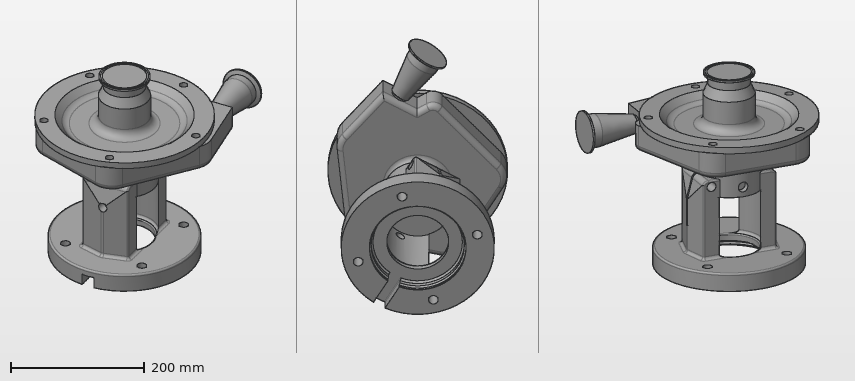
import math

import cadquery as cq

total_height = 310.0
plate_top_z = 241.0
plate_bottom_z = 231.0
casing_bottom_z = 189.0
collar_top_z = 169.0
collar_bottom_z = 126.0
base_height = 29.0

plate_radius = 135.0
plate_hole_count = 5
plate_hole_circle_radius = 122.0
plate_hole_radius = 6.2
recess_rim_radius = 104.6
recess_cone_foot_radius = 94.0
recess_floor_radius = 83.0
recess_cone_depth = 10.6
recess_depth = 15.1
hub_fillet_radius = 14.0

inlet_radius = 39.4
inlet_neck_radius = 32.2
inlet_cone_start_z = 276.0
inlet_cone_end_z = 292.0
inlet_flange_radius = 38.6
inlet_groove_circle_radius = 34.7
inlet_groove_radius = 1.3

casing_side_count = 5
casing_apothem = 115.0
casing_corner_radius = 35.0
casing_bottom_fillet = 9.0
tab_corner = (50.0, 137.7)
tab_corner_radius = 18.0
outlet_wall_y = 109.5
outlet_wall_x_start = 65.0
outlet_wall_x_end = 124.6
outlet_side_corner = (142.4, 1.0)

outlet_x = 96.0
outlet_z = 209.2
outlet_end_y = 195.0
outlet_flange_radius = 32.3
outlet_radius = 25.7
outlet_cone_start_y = 113.5
outlet_cone_end_y = 176.5
outlet_cone_small_radius = 15.0
outlet_root_radius = 12.4
outlet_root_y = outlet_wall_y - 12.0

ferrule_rim_thickness = 3.0
ferrule_total_thickness = 5.5

neck_radius = 42.0
neck_fillet_radius = 10.0
collar_radius = 51.2
collar_hole_radius = 7.8
collar_hole_depth = 10.0
collar_hole_z = 141.7

leg_half_width = 39.3
leg_relief_radius = 52.0
leg_shoulder_y = 60.0
leg_nose_y = 70.1
leg_nose_radius = 8.6
leg_edge_radius = 2.5
leg_top_z = 155.5
leg_top_edge_y = 59.1
leg_slope_end_z = 113.8
leg_top_radius = 10.0
leg_foot_fillet = 5.0
drain_hole_z = 114.2
drain_hole_radius = 7.0
clamp_slit_width = 3.5
clamp_slit_bottom_z = 73.0
clamp_hole_y = 46.9
clamp_hole_z = 145.3
clamp_hole_radius = 7.3

base_radius = 115.0
base_edge_fillet = 3.0
base_bore_radius = 46.5
base_bore_edge_fillet = 2.0
base_recess_radius = 70.0
base_recess_depth = 18.0
base_recess_chamfer = 3.0
base_register_flare = 2.5
base_register_flare_z = 8.0
base_groove_top_z = 5.5
base_groove_bottom_z = 2.0
base_hole_count = 4
base_hole_circle_radius = 92.5
base_hole_first_angle = 45.0
base_hole_radius = 7.3
base_slot_width = 20.0
base_slot_height = base_recess_depth
base_slot_edge_radius = 1.0


def disc(radius, z_bottom, z_top):
    """Solid cylinder about the shaft axis."""
    return cq.Workplane("XY").workplane(offset=z_bottom).circle(radius).extrude(z_top - z_bottom)


def make_cover():
    """Cover plate with its bolt holes."""
    holes = (
        cq.Workplane("XY")
        .workplane(offset=plate_bottom_z)
        .polarArray(plate_hole_circle_radius, 0, 360, plate_hole_count)
        .circle(plate_hole_radius)
        .extrude(plate_top_z - plate_bottom_z)
    )
    return disc(plate_radius, plate_bottom_z, plate_top_z).cut(holes)


def make_recess():
    """Ring-shaped volume removed from the cover and casing around the inlet tube."""
    floor_z = plate_top_z - recess_depth
    profile = (
        cq.Workplane("XZ")
        .moveTo(inlet_radius, plate_top_z)
        .lineTo(recess_rim_radius, plate_top_z)
        .lineTo(recess_cone_foot_radius, plate_top_z - recess_cone_depth)
        .tangentArcPoint((recess_floor_radius, floor_z), relative=False)
        .lineTo(inlet_radius + hub_fillet_radius, floor_z)
        .radiusArc((inlet_radius, floor_z + hub_fillet_radius), hub_fillet_radius)
        .close()
    )
    return profile.revolve(360, (0, 0, 0), (0, 1, 0))


def make_inlet():
    """Inlet tube, necked in below its grooved clamp ferrule."""
    profile = (
        cq.Workplane("XZ")
        .moveTo(0, plate_bottom_z)
        .lineTo(inlet_radius, plate_bottom_z)
        .lineTo(inlet_radius, inlet_cone_start_z)
        .lineTo(inlet_neck_radius, inlet_cone_end_z)
        .lineTo(inlet_neck_radius, total_height - ferrule_total_thickness)
        .lineTo(inlet_flange_radius, total_height - ferrule_rim_thickness)
        .lineTo(inlet_flange_radius, total_height)
        .lineTo(inlet_groove_circle_radius + inlet_groove_radius, total_height)
        .threePointArc(
            (inlet_groove_circle_radius, total_height - inlet_groove_radius),
            (inlet_groove_circle_radius - inlet_groove_radius, total_height),
        )
        .lineTo(0, total_height)
        .close()
    )
    return profile.revolve(360, (0, 0, 0), (0, 1, 0))


def make_casing():
    """Rounded pentagon whose +X side is widened into the outlet wall."""
    corner_distance = casing_apothem / math.cos(math.pi / casing_side_count)

    def pentagon_corner(index):
        angle = 2 * math.pi * index / casing_side_count
        return (corner_distance * math.cos(angle), corner_distance * math.sin(angle))

    plain_corners = [pentagon_corner(index) for index in (2, 3, 4)]
    outline = [
        (outlet_wall_x_end, outlet_wall_y),
        (outlet_wall_x_start, outlet_wall_y),
        tab_corner,
        *plain_corners,
        outlet_side_corner,
    ]
    casing = (
        cq.Workplane("XY")
        .workplane(offset=casing_bottom_z)
        .polyline(outline)
        .close()
        .extrude(plate_bottom_z - casing_bottom_z)
    )
    mid_z = (casing_bottom_z + plate_bottom_z) / 2
    for corner in [*plain_corners, outlet_side_corner]:
        edge = cq.selectors.NearestToPointSelector((*corner, mid_z))
        casing = casing.edges("|Z").edges(edge).fillet(casing_corner_radius)
    tab_edge = cq.selectors.NearestToPointSelector((*tab_corner, mid_z))
    casing = casing.edges("|Z").edges(tab_edge).fillet(tab_corner_radius)
    return casing.faces("<Z").edges().fillet(casing_bottom_fillet)


def make_outlet():
    """Conical outlet tube with a clamp ferrule, along +Y."""
    profile = (
        cq.Workplane("XY")
        .moveTo(outlet_x, outlet_root_y)
        .lineTo(outlet_x + outlet_root_radius, outlet_root_y)
        .lineTo(outlet_x + outlet_root_radius, outlet_cone_start_y)
        .lineTo(outlet_x + outlet_cone_small_radius, outlet_cone_start_y)
        .lineTo(outlet_x + outlet_radius, outlet_cone_end_y)
        .lineTo(outlet_x + outlet_radius, outlet_end_y - ferrule_total_thickness)
        .lineTo(outlet_x + outlet_flange_radius, outlet_end_y - ferrule_rim_thickness)
        .lineTo(outlet_x + outlet_flange_radius, outlet_end_y)
        .lineTo(outlet_x, outlet_end_y)
        .close()
    )
    tube = profile.revolve(360, (outlet_x, 0, 0), (outlet_x, 1, 0))
    return tube.translate((0, 0, outlet_z))


def make_neck_and_collar():
    """Shaft neck flaring into the casing, on a collar with a blind side hole."""
    overlap_z = casing_bottom_z + casing_bottom_fillet
    flare_radius = neck_radius + neck_fillet_radius
    neck = (
        cq.Workplane("XZ")
        .moveTo(0, collar_bottom_z)
        .lineTo(collar_radius, collar_bottom_z)
        .lineTo(collar_radius, collar_top_z)
        .lineTo(neck_radius, collar_top_z)
        .lineTo(neck_radius, casing_bottom_z - neck_fillet_radius)
        .radiusArc((flare_radius, casing_bottom_z), neck_fillet_radius)
        .lineTo(flare_radius, overlap_z)
        .lineTo(0, overlap_z)
        .close()
        .revolve(360, (0, 0, 0), (0, 1, 0))
    )
    hole = (
        cq.Workplane("YZ")
        .workplane(offset=-collar_radius)
        .center(0, collar_hole_z)
        .circle(collar_hole_radius)
        .extrude(collar_hole_depth)
    )
    return neck.cut(hole)


def make_front_leg():
    """Leg on the -Y side: a blunt wedge in plan with a sloping, rounded top."""
    plan = (
        cq.Workplane("XY")
        .workplane(offset=base_height)
        .moveTo(-leg_half_width, 0)
        .lineTo(-leg_half_width, -leg_shoulder_y)
        .lineTo(0, -leg_nose_y)
        .lineTo(leg_half_width, -leg_shoulder_y)
        .lineTo(leg_half_width, 0)
        .close()
        .extrude(leg_top_z - base_height)
    )
    plan = plan.edges("|Z and (not >Y) and (not <Y)").fillet(leg_edge_radius)
    plan = plan.edges("|Z and <Y").fillet(leg_nose_radius)
    side = (
        cq.Workplane("YZ")
        .workplane(offset=-leg_half_width)
        .moveTo(0, base_height)
        .lineTo(-leg_nose_y, base_height)
        .lineTo(-leg_nose_y, leg_slope_end_z)
        .lineTo(-leg_top_edge_y, leg_top_z)
        .lineTo(0, leg_top_z)
        .close()
        .extrude(2 * leg_half_width)
    )
    top_edge = cq.selectors.NearestToPointSelector((0, -leg_top_edge_y, leg_top_z))
    side = side.edges("|X").edges(top_edge).fillet(leg_top_radius)
    for flank in ("<X", ">X"):
        side = side.faces(flank).edges("not (|Z or <Z)").fillet(leg_edge_radius)
    leg = plan.intersect(side).cut(disc(collar_radius, base_height, leg_top_z))
    return leg.cut(disc(leg_relief_radius, base_height, collar_bottom_z))


def cut_clamp_slit(leg):
    """Split the +Y leg with a narrow slit."""
    slit = cq.Workplane("XY").box(
        clamp_slit_width,
        leg_nose_y,
        leg_top_z - clamp_slit_bottom_z,
        centered=(True, False, False),
    )
    return leg.cut(slit.translate((0, 0, clamp_slit_bottom_z)))


def make_clamp_hole():
    """Bolt hole along X that crosses the +Y leg and grazes the collar."""
    return (
        cq.Workplane("YZ")
        .workplane(offset=-collar_radius)
        .center(clamp_hole_y, clamp_hole_z)
        .circle(clamp_hole_radius)
        .extrude(2 * collar_radius)
    )


def cut_drain(leg):
    """Drill the -Y leg through its nose."""
    hole = (
        cq.Workplane("XZ")
        .center(0, drain_hole_z)
        .circle(drain_hole_radius)
        .extrude(leg_nose_y)
    )
    return leg.cut(hole)


def make_base_bore():
    """Volume of the stepped bore: round-edged at the top, a grooved recess underneath."""
    rim_radius = base_bore_radius + base_bore_edge_fillet
    register_radius = base_recess_radius + base_register_flare
    groove_radius = (base_groove_top_z - base_groove_bottom_z) / 2
    profile = (
        cq.Workplane("XZ")
        .lineTo(register_radius, 0)
        .lineTo(register_radius, base_groove_bottom_z)
        .threePointArc(
            (register_radius + groove_radius, base_groove_bottom_z + groove_radius),
            (register_radius, base_groove_top_z),
        )
        .lineTo(base_recess_radius, base_register_flare_z)
        .lineTo(base_recess_radius, base_recess_depth - base_recess_chamfer)
        .lineTo(base_recess_radius - base_recess_chamfer, base_recess_depth)
        .lineTo(base_bore_radius, base_recess_depth)
        .lineTo(base_bore_radius, base_height - base_bore_edge_fillet)
        .radiusArc((rim_radius, base_height), base_bore_edge_fillet)
        .lineTo(rim_radius, base_height + leg_foot_fillet)
        .lineTo(0, base_height + leg_foot_fillet)
        .close()
    )
    return profile.revolve(360, (0, 0, 0), (0, 1, 0))


def make_base_and_legs():
    """Base ring carrying two opposite legs, with filleted feet."""
    leg = make_front_leg()
    body = disc(base_radius, 0, base_height).faces(">Z").edges().fillet(base_edge_fillet)
    body = body.union(cut_drain(leg)).union(cut_clamp_slit(leg.mirror("XZ")))
    margin = 1.0
    foot_box = cq.selectors.BoxSelector(
        (-leg_half_width - margin, -leg_nose_y - margin, base_height - margin),
        (leg_half_width + margin, leg_nose_y + margin, base_height + margin),
    )
    body = body.edges(foot_box).fillet(leg_foot_fillet)
    return body.cut(make_base_bore()).cut(make_base_cuts())


def make_base_cuts():
    """Bolt holes and the drain slot through the -Y rim."""
    holes = (
        cq.Workplane("XY")
        .polarArray(base_hole_circle_radius, base_hole_first_angle, 360, base_hole_count)
        .circle(base_hole_radius)
        .extrude(base_height)
    )
    slot_length = base_radius - base_bore_radius
    slot = (
        cq.Workplane("XY")
        .box(base_slot_width, slot_length, base_slot_height, centered=(True, False, False))
        .edges("|Y and >Z")
        .fillet(base_slot_edge_radius)
        .translate((0, -base_radius, 0))
    )
    return holes.union(slot)


cover_and_casing = make_cover().union(make_casing()).cut(make_recess())
result = (
    cover_and_casing
    .union(make_inlet())
    .union(make_outlet())
    .union(make_neck_and_collar())
    .union(make_base_and_legs())
    .cut(make_clamp_hole())
)